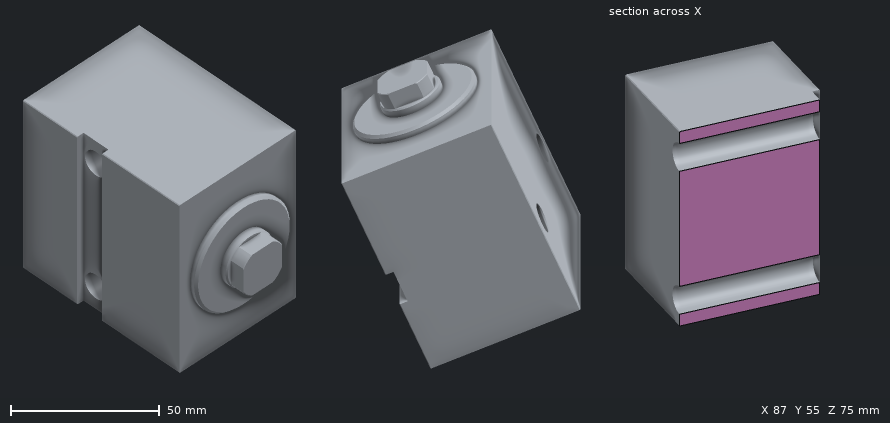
import cadquery as cq


total_length = 87.0
housing_length = 75.0
housing_width = 55.0
housing_height = 75.0
housing_edge_chamfer = 0.3

groove_width = 11.9
groove_depth = 3.0
groove_center_x = 32.0
mount_hole_diameter = 10.5
mount_hole_spacing = 55.0

gland_diameter = 45.0
gland_thickness = 3.0
gland_chamfer = 1.0

rod_diameter = 22.1
collar_projection = 3.05
collar_chamfer = 0.5
tip_across_flats = 18.2
tip_end_chamfer = 0.3

gland_end_x = housing_length + gland_thickness
collar_end_x = gland_end_x + collar_projection
tip_length = total_length - collar_end_x
tip_diameter = rod_diameter - 2 * collar_chamfer


def cylinder_along_x(diameter, start_x, length):
    return cq.Workplane("YZ", origin=(start_x, 0, 0)).circle(diameter / 2).extrude(length)


def make_housing():
    block = cq.Workplane("XY").box(
        housing_length, housing_width, housing_height, centered=(False, True, True)
    )
    block = block.edges("|X").chamfer(housing_edge_chamfer)

    groove = (
        cq.Workplane("XY")
        .box(groove_width, groove_depth, housing_height, centered=(True, False, True))
        .translate((groove_center_x, -housing_width / 2, 0))
    )

    mount_holes = (
        cq.Workplane("XZ", origin=(groove_center_x, 0, 0))
        .rarray(0.9, mount_hole_spacing, 1, 2)
        .circle(mount_hole_diameter / 2)
        .extrude(housing_width / 2, both=True)
    )
    return block.cut(groove).cut(mount_holes)


def make_gland():
    disc = cylinder_along_x(gland_diameter, housing_length, gland_thickness)
    disc = disc.faces(">X").chamfer(gland_chamfer)
    rod_hole = cylinder_along_x(rod_diameter, housing_length, gland_thickness)
    return disc.cut(rod_hole)


def make_rod():
    collar = cylinder_along_x(rod_diameter, housing_length, collar_end_x - housing_length)
    collar = collar.faces(">X").chamfer(collar_chamfer)

    tip = cylinder_along_x(tip_diameter, collar_end_x, tip_length)
    tip = tip.faces(">X").chamfer(tip_end_chamfer)
    flats = (
        cq.Workplane("YZ", origin=(collar_end_x, 0, 0))
        .rect(tip_across_flats, tip_across_flats)
        .extrude(tip_length)
    )
    return collar.union(tip.intersect(flats))


housing = make_housing()
gland = make_gland()
rod = make_rod()

result = cq.Compound.makeCompound([housing.val(), gland.val(), rod.val()])